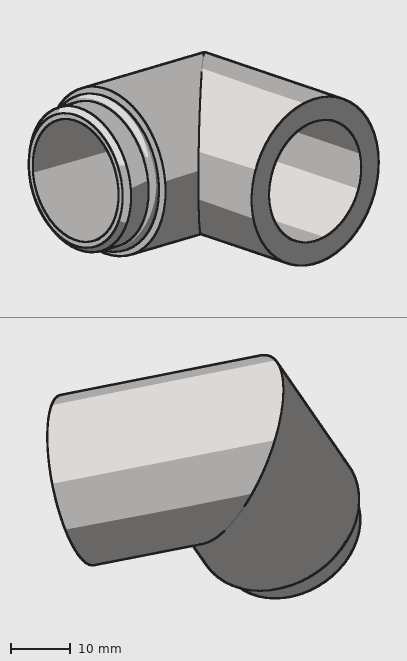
import cadquery as cq

outer_diameter = 29.0
bore_diameter = 21.0
overall_x = 42.0
overall_y = 43.5

spigot_diameter = 25.0
spigot_length = 7.0
spigot_chamfer = 1.0
ring_section_diameter = 2.0

outer_radius = outer_diameter / 2
x_leg_length = overall_x - outer_radius
y_end = overall_y - outer_radius
shoulder = y_end - spigot_length


def mitred_elbow(diameter, x_length, y_length):
    """Two round legs, along +X and -Y, meeting on the 45 degree mitre plane."""
    radius = diameter / 2
    x_leg = cq.Workplane("YZ", origin=(-radius, 0, 0)).circle(radius).extrude(radius + x_length)
    y_leg = cq.Workplane("XZ", origin=(0, radius, 0)).circle(radius).extrude(radius + y_length)
    x_side = (
        cq.Workplane("XY")
        .polyline([(-radius, radius), (x_length, radius), (x_length, -radius), (radius, -radius)])
        .close()
        .extrude(radius, both=True)
    )
    y_side = (
        cq.Workplane("XY")
        .polyline([(-radius, radius), (radius, -radius), (radius, -y_length), (-radius, -y_length)])
        .close()
        .extrude(radius, both=True)
    )
    return x_leg.intersect(x_side).union(y_leg.intersect(y_side))


def spigot():
    """Chamfered spigot, rooted at the mitre centre so that it overlaps the body."""
    return (
        cq.Workplane("XZ")
        .circle(spigot_diameter / 2)
        .extrude(y_end)
        .faces("<Y")
        .chamfer(spigot_chamfer)
    )


def sealing_ring():
    """Round-section ring centred on the spigot surface and touching the shoulder."""
    section_radius = ring_section_diameter / 2
    return (
        cq.Workplane("XY")
        .center(spigot_diameter / 2, -shoulder - section_radius)
        .circle(section_radius)
        .revolve(360, (-spigot_diameter / 2, 0), (-spigot_diameter / 2, 1))
    )


body = mitred_elbow(outer_diameter, x_leg_length, shoulder)
bore = mitred_elbow(bore_diameter, x_leg_length, y_end)
result = body.union(spigot()).union(sealing_ring()).cut(bore)